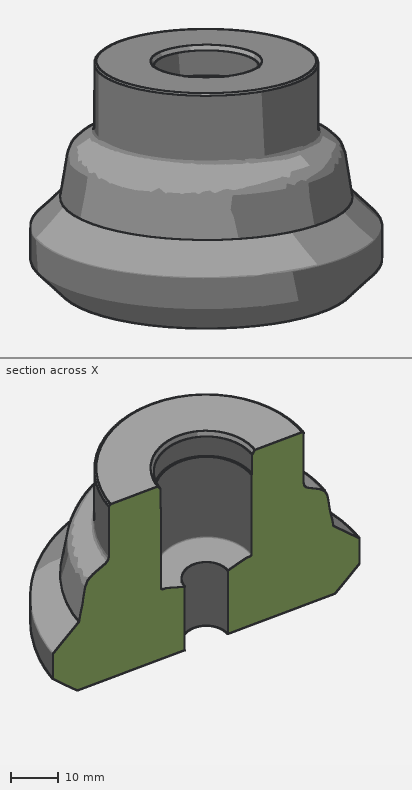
import cadquery as cq
import math

outer_radius = 37.5
total_height = 50.0

bottom_radius = 31.5
rim_bottom = outer_radius - bottom_radius
shoulder_radius = 31.1
shoulder_height = 19.65
rim_top = shoulder_height - (outer_radius - shoulder_radius)
rim_fillet = 0.7
bottom_fillet = 0.45

collar_draft = math.radians(9)
slope_angle = math.radians(30)
collar_fillet = 4.0

neck_radius = 23.85
neck_base = 34.0
neck_fillet = 1.9
neck_chamfer = 0.45

mouth_radius = 11.85
mouth_depth = 1.05
upper_bore_radius = 11.2
upper_bore_depth = 6.6
lower_bore_radius = 11.0
step_depth = 0.15
bore_depth = 30.0
bore_floor_fillet = 0.5
floor_cone_radius = 9.8
floor_angle = math.radians(20)
through_radius = 5.25

slope = math.tan(slope_angle)
draft = math.tan(collar_draft)
collar_height = (
    neck_base - (shoulder_radius - neck_radius + shoulder_height * draft) * slope
) / (1 - draft * slope)
collar_radius = shoulder_radius - (collar_height - shoulder_height) * draft


def revolve_profile(points):
    """Solid of revolution about Z from (radius, height) points."""
    return cq.Workplane("XZ").polyline(points).close().revolve(360, (0, 0), (0, 1))


def round_edge(body, radius, height, size):
    """Fillet the circular edge at the given radius and height."""
    reach = 0.04
    box = cq.selectors.BoxSelector(
        (-radius - reach, -radius - reach, height - reach),
        (radius + reach, radius + reach, height + reach),
        boundingbox=True,
    )
    return body.edges(box).fillet(size)


def make_body():
    body = revolve_profile([
        (0, 0),
        (bottom_radius, 0),
        (outer_radius, rim_bottom),
        (outer_radius, rim_top),
        (shoulder_radius, shoulder_height),
        (collar_radius, collar_height),
        (neck_radius, neck_base),
        (neck_radius, total_height),
        (0, total_height),
    ])
    body = round_edge(body, bottom_radius, 0, bottom_fillet)
    body = round_edge(body, outer_radius, rim_bottom, rim_fillet)
    body = round_edge(body, outer_radius, rim_top, rim_fillet)
    body = round_edge(body, collar_radius, collar_height, collar_fillet)
    body = round_edge(body, neck_radius, neck_base, neck_fillet)
    return body.faces(">Z").edges().chamfer(neck_chamfer)


def make_bore():
    bore_floor = total_height - bore_depth
    step_top = total_height - upper_bore_depth
    cone_bottom = bore_floor - (floor_cone_radius - through_radius) * math.tan(floor_angle)
    bore = revolve_profile([
        (0, 0),
        (through_radius, 0),
        (through_radius, cone_bottom),
        (floor_cone_radius, bore_floor),
        (lower_bore_radius, bore_floor),
        (lower_bore_radius, step_top - step_depth),
        (upper_bore_radius, step_top),
        (upper_bore_radius, total_height - mouth_depth),
        (mouth_radius, total_height),
        (0, total_height),
    ])
    return round_edge(bore, lower_bore_radius, bore_floor, bore_floor_fillet)


result = make_body().cut(make_bore())